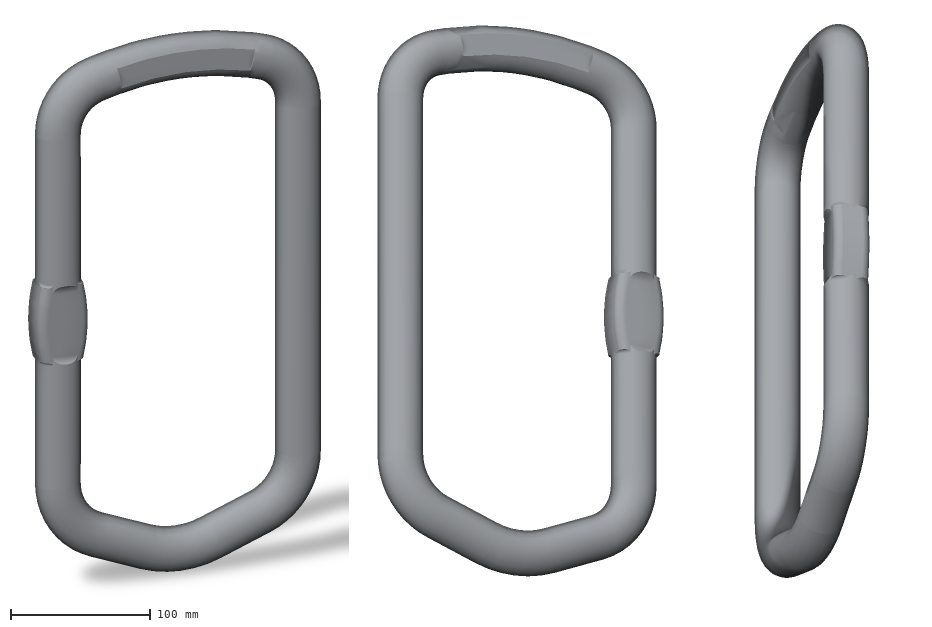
import cadquery as cq
import math

tube_diameter = 33.0
tube_radius = tube_diameter / 2
loop_height = 406.0
loop_width = 220.8
leg_y = loop_width / 2 - tube_radius
crown_z = loop_height / 2 - tube_radius

crown_bend = 235.5
upper_corner_bend = 39.0
lower_corner_bend = 46.0
keel_bend = 73.0
keel_slope = 20.5

flat_depth = 2.0
flat_half_angle = 12.8

sleeve_length = 57.0
sleeve_half_thickness = 13.5
sleeve_bulge = 3.2
sleeve_middle_half_width = tube_radius + sleeve_bulge
sleeve_end_half_width = 16.2
sleeve_edge_round = 6.5
seam_fillet = 2.0
recess_floor_length = 48.0
recess_length = 59.2


def polar(centre, radius, angle):
    """Point at an angle (radians) measured from +Z toward +Y around a centre in YZ."""
    return (centre[0] + radius * math.sin(angle), centre[1] + radius * math.cos(angle))


def mirrored(point):
    """The same point on the -Y side of the loop, or back again."""
    return (-point[0], point[1])


def make_tube():
    """Round tube swept along a closed path of straight runs and tangent bends."""
    corner_y = leg_y - upper_corner_bend
    crown_centre = (0, crown_z - crown_bend)
    crown_angle = math.asin(corner_y / (crown_bend - upper_corner_bend))
    upper_centre = polar(crown_centre, crown_bend - upper_corner_bend, crown_angle)
    crown_end = polar(upper_centre, upper_corner_bend, crown_angle)
    upper_middle = polar(upper_centre, upper_corner_bend, (crown_angle + math.pi / 2) / 2)
    upper_leg_end = polar(upper_centre, upper_corner_bend, math.pi / 2)

    slope = math.radians(keel_slope)
    downward = math.pi - slope
    keel_centre = (0, -crown_z + keel_bend)
    keel_end = polar(keel_centre, keel_bend, downward)
    lower_y = leg_y - lower_corner_bend
    run_end_y = lower_y + lower_corner_bend * math.sin(slope)
    run_end_z = keel_end[1] + (run_end_y - keel_end[0]) * math.tan(slope)
    lower_centre = (lower_y, run_end_z + lower_corner_bend * math.cos(slope))
    run_end = (run_end_y, run_end_z)
    lower_middle = polar(lower_centre, lower_corner_bend, (downward + math.pi / 2) / 2)
    lower_leg_end = polar(lower_centre, lower_corner_bend, math.pi / 2)

    path = (
        cq.Workplane("YZ")
        .moveTo(leg_y, 0)
        .lineTo(*upper_leg_end)
        .threePointArc(upper_middle, crown_end)
        .threePointArc((0, crown_z), mirrored(crown_end))
        .threePointArc(mirrored(upper_middle), mirrored(upper_leg_end))
        .lineTo(*mirrored(lower_leg_end))
        .threePointArc(mirrored(lower_middle), mirrored(run_end))
        .lineTo(*mirrored(keel_end))
        .threePointArc((0, -crown_z), keel_end)
        .lineTo(*run_end)
        .threePointArc(lower_middle, lower_leg_end)
        .close()
    )
    return cq.Workplane("XY").center(0, leg_y).circle(tube_radius).sweep(path)


def make_crown_flat_cutters():
    """Ring sectors that trim the crown to a flat on its -X and +X sides."""
    centre = (0, crown_z - crown_bend)
    outer = crown_bend + tube_radius
    inner = crown_bend - tube_radius
    half_angle = math.radians(flat_half_angle)
    outer_end = polar(centre, outer, half_angle)
    inner_end = polar(centre, inner, half_angle)
    cutter = (
        cq.Workplane("YZ", origin=(tube_radius - flat_depth, 0, 0))
        .moveTo(*mirrored(outer_end))
        .threePointArc(polar(centre, outer, 0), outer_end)
        .lineTo(*inner_end)
        .threePointArc(polar(centre, inner, 0), mirrored(inner_end))
        .close()
        .extrude(tube_diameter)
    )
    return cutter.union(cutter.mirror("YZ"))


def make_sleeve_recess_cutters():
    """Cutters level with the sleeve faces, curving out to the tube at both ends."""
    floor_z = recess_floor_length / 2
    end_z = recess_length / 2
    outside_x = tube_diameter
    cutter = (
        cq.Workplane("XZ", origin=(0, -leg_y, 0))
        .moveTo(sleeve_half_thickness, 0)
        .lineTo(sleeve_half_thickness, floor_z)
        .tangentArcPoint((tube_radius, end_z), relative=False)
        .lineTo(outside_x, end_z)
        .lineTo(outside_x, 0)
        .close()
        .extrude(tube_radius, both=True)
    )
    cutter = cutter.union(cutter.mirror("XY"))
    return cutter.union(cutter.mirror("YZ"))


def make_sleeve():
    """Barrel-sided block with its four long edges rounded."""
    end_z = sleeve_length / 2
    return (
        cq.Workplane("YZ", origin=(0, -leg_y, 0))
        .moveTo(-sleeve_end_half_width, -end_z)
        .threePointArc((-sleeve_middle_half_width, 0), (-sleeve_end_half_width, end_z))
        .lineTo(sleeve_end_half_width, end_z)
        .threePointArc((sleeve_middle_half_width, 0), (sleeve_end_half_width, -end_z))
        .close()
        .extrude(sleeve_half_thickness, both=True)
        .edges("(not |Y) and (not |X)")
        .fillet(sleeve_edge_round)
    )


def make_seam_flares():
    """Concave fillets leading from the tube up to the rounded corners at both sleeve ends."""
    end_z = sleeve_length / 2
    tip_z = end_z + seam_fillet
    collar = (
        cq.Workplane("XZ", origin=(0, -leg_y, 0))
        .moveTo(0, end_z)
        .lineTo(tube_radius + seam_fillet, end_z)
        .radiusArc((tube_radius, tip_z), seam_fillet)
        .lineTo(0, tip_z)
        .close()
        .revolve(360, (0, 0, 0), (0, 1, 0))
    )
    end_prism = (
        cq.Workplane("XY", origin=(0, -leg_y, end_z))
        .rect(2 * sleeve_half_thickness, 2 * sleeve_end_half_width)
        .extrude(seam_fillet)
        .edges("|Z")
        .fillet(sleeve_edge_round)
    )
    flare = collar.intersect(end_prism)
    return flare.union(flare.mirror("XY"))


loop = make_tube().cut(make_crown_flat_cutters()).cut(make_sleeve_recess_cutters())
result = loop.union(make_sleeve()).union(make_seam_flares())